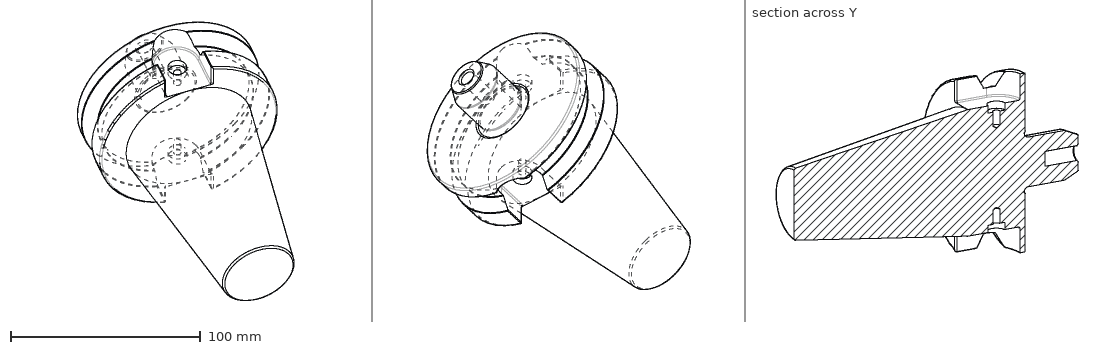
import cadquery as cq
import math


GAUGE_DIAMETER = 69.85
TAPER_RATIO = 7 / 24
TAPER_LENGTH = 101.8
TAPER_END_CHAMFER = 1.0

FLANGE_DIAMETER = 100.0
FLANGE_FRONT_X = -38.0
FLANGE_BACK_X = -3.0
FLANGE_RIM_ROUND = 1.0
GROOVE_DIAMETER = 85.0
GROOVE_CENTER_X = -23.25
GROOVE_MOUTH_WIDTH = 15.2
GROOVE_FLANK_ANGLE = 30.0

PILOT_DIAMETER = 28.0
PILOT_LENGTH = 32.0
LEAD_LENGTH = 8.5
LEAD_END_DIAMETER = 20.8
TIP_CHAMFER = 0.6

EDGE_BREAK = 0.3

RELIEF_DIAMETER = 27.8
RELIEF_START = 3.0
RELIEF_RAMP_LENGTH = 0.9
RELIEF_FILLET = 2.5
RELIEF_FACE_DEPTH = 0.6
RELIEF_RIM_DIAMETER = 34.8

BORE_DIAMETER = 8.0
BORE_MOUTH_DIAMETER = 10.0
BORE_DEPTH = 20.0

SLOT_WIDTH = 25.7
SLOT_FLOOR_HEIGHT = 35.4
SLOT_END_X = -34.5
SLOT_FLOOR_FILLET = 0.8
SLOT_CLEARANCE = 1.0
SLOT_RIM_CHAMFER = 0.5
SLOT_BACK_CHAMFER = 1.0

HOLE_X = -20.5
COUNTERBORE_DIAMETER = 10.0
COUNTERBORE_DEPTH = 4.0
HOLE_DIAMETER = 4.0
HOLE_DEPTH = 12.0
DRILL_POINT_ANGLE = 118.0


def taper_radius(x):
    return (GAUGE_DIAMETER - TAPER_RATIO * x) / 2


def make_turned_body():
    pilot_radius = PILOT_DIAMETER / 2
    relief_radius = RELIEF_DIAMETER / 2
    flange_radius = FLANGE_DIAMETER / 2
    groove_radius = GROOVE_DIAMETER / 2

    tip_x = FLANGE_FRONT_X - PILOT_LENGTH
    relief_x = FLANGE_FRONT_X - RELIEF_START
    recess_x = FLANGE_FRONT_X + RELIEF_FACE_DEPTH
    fillet_bulge = RELIEF_FILLET * math.sqrt(0.5)

    flank_run = (flange_radius - groove_radius) * math.tan(math.radians(GROOVE_FLANK_ANGLE))
    mouth_front_x = GROOVE_CENTER_X - GROOVE_MOUTH_WIDTH / 2
    mouth_back_x = GROOVE_CENTER_X + GROOVE_MOUTH_WIDTH / 2

    taper_chamfer_x = TAPER_LENGTH - TAPER_END_CHAMFER
    taper_end_radius = taper_radius(taper_chamfer_x) - TAPER_END_CHAMFER

    profile = (
        cq.Workplane("XZ")
        .moveTo(tip_x, 0)
        .lineTo(tip_x, LEAD_END_DIAMETER / 2 - TIP_CHAMFER)
        .lineTo(tip_x + TIP_CHAMFER, LEAD_END_DIAMETER / 2)
        .lineTo(tip_x + LEAD_LENGTH, pilot_radius)
        .lineTo(relief_x, pilot_radius)
        .lineTo(relief_x + RELIEF_RAMP_LENGTH, relief_radius)
        .lineTo(recess_x - RELIEF_FILLET, relief_radius)
        .threePointArc(
            (recess_x - RELIEF_FILLET + fillet_bulge, relief_radius + RELIEF_FILLET - fillet_bulge),
            (recess_x, relief_radius + RELIEF_FILLET),
        )
        .lineTo(FLANGE_FRONT_X, RELIEF_RIM_DIAMETER / 2)
        .lineTo(FLANGE_FRONT_X, flange_radius - FLANGE_RIM_ROUND)
        .tangentArcPoint((FLANGE_FRONT_X + FLANGE_RIM_ROUND, flange_radius), relative=False)
        .lineTo(mouth_front_x, flange_radius)
        .lineTo(mouth_front_x + flank_run, groove_radius)
        .lineTo(mouth_back_x - flank_run, groove_radius)
        .lineTo(mouth_back_x, flange_radius)
        .lineTo(FLANGE_BACK_X - FLANGE_RIM_ROUND, flange_radius)
        .tangentArcPoint((FLANGE_BACK_X, flange_radius - FLANGE_RIM_ROUND), relative=False)
        .lineTo(FLANGE_BACK_X, taper_radius(FLANGE_BACK_X))
        .lineTo(taper_chamfer_x, taper_radius(taper_chamfer_x))
        .lineTo(TAPER_LENGTH, taper_end_radius)
        .lineTo(TAPER_LENGTH, 0)
        .close()
    )
    return profile.revolve(360, (0, 0, 0), (1, 0, 0))


def box_around_axis(x_min, x_max):
    reach = FLANGE_DIAMETER
    return cq.selectors.BoxSelector((x_min, -reach, -reach), (x_max, reach, reach))


def break_corners(body):
    """Bevel the four groove corners and the corner between lead and pilot."""
    groove_zone = box_around_axis(
        GROOVE_CENTER_X - GROOVE_MOUTH_WIDTH / 2 - EDGE_BREAK,
        GROOVE_CENTER_X + GROOVE_MOUTH_WIDTH / 2 + EDGE_BREAK,
    )
    lead_corner_x = FLANGE_FRONT_X - PILOT_LENGTH + LEAD_LENGTH
    lead_zone = box_around_axis(lead_corner_x - EDGE_BREAK, lead_corner_x + EDGE_BREAK)
    return body.edges(groove_zone).chamfer(EDGE_BREAK).edges(lead_zone).chamfer(EDGE_BREAK)


def make_bore():
    tip_x = FLANGE_FRONT_X - PILOT_LENGTH
    mouth_chamfer = (BORE_MOUTH_DIAMETER - BORE_DIAMETER) / 2
    profile = (
        cq.Workplane("XZ")
        .moveTo(tip_x, 0)
        .lineTo(tip_x, BORE_MOUTH_DIAMETER / 2)
        .lineTo(tip_x + mouth_chamfer, BORE_DIAMETER / 2)
        .lineTo(tip_x + BORE_DEPTH, BORE_DIAMETER / 2)
        .lineTo(tip_x + BORE_DEPTH, 0)
        .close()
    )
    return profile.revolve(360, (0, 0, 0), (1, 0, 0))


def make_slot_cutter():
    """Round-ended slot open toward the taper, with its floor edge rounded."""
    half_width = SLOT_WIDTH / 2
    arc_center_x = SLOT_END_X + half_width
    flare_start_x = FLANGE_BACK_X - SLOT_BACK_CHAMFER
    flare_half_width = half_width - flare_start_x
    cutter_height = FLANGE_DIAMETER / 2 - SLOT_FLOOR_HEIGHT + SLOT_CLEARANCE
    cutter = (
        cq.Workplane("XY")
        .workplane(offset=SLOT_FLOOR_HEIGHT)
        .moveTo(0, flare_half_width)
        .lineTo(flare_start_x, half_width)
        .lineTo(arc_center_x, half_width)
        .threePointArc((SLOT_END_X, 0), (arc_center_x, -half_width))
        .lineTo(flare_start_x, -half_width)
        .lineTo(0, -flare_half_width)
        .close()
        .extrude(cutter_height)
    )
    return cutter.faces("<Z").edges("not >X").fillet(SLOT_FLOOR_FILLET)


def make_hole_cutter():
    """Counterbored drill hole, pointing down from the slot floor."""
    hole_radius = HOLE_DIAMETER / 2
    counterbore_radius = COUNTERBORE_DIAMETER / 2
    point_length = hole_radius / math.tan(math.radians(DRILL_POINT_ANGLE / 2))
    counterbore_z = SLOT_FLOOR_HEIGHT - COUNTERBORE_DEPTH
    bottom_z = SLOT_FLOOR_HEIGHT - HOLE_DEPTH
    profile = (
        cq.Workplane("XZ")
        .moveTo(0, bottom_z - point_length)
        .lineTo(hole_radius, bottom_z)
        .lineTo(hole_radius, counterbore_z)
        .lineTo(counterbore_radius, counterbore_z)
        .lineTo(counterbore_radius, SLOT_FLOOR_HEIGHT)
        .lineTo(0, SLOT_FLOOR_HEIGHT)
        .close()
    )
    return profile.revolve(360, (0, 0, 0), (0, 1, 0)).translate((HOLE_X, 0, 0))


def chamfer_slot_rims(body):
    """Bevel the slot edges that lie on the outside diameter of the flange."""
    flange_radius = FLANGE_DIAMETER / 2
    half_width = SLOT_WIDTH / 2
    wall_top_z = math.sqrt(flange_radius**2 - half_width**2)
    groove_back_x = GROOVE_CENTER_X + GROOVE_MOUTH_WIDTH / 2
    wall_middle_x = (groove_back_x + FLANGE_BACK_X) / 2
    rims = []
    for side in (1, -1):
        rim_points = [
            (SLOT_END_X, 0, side * flange_radius),
            (wall_middle_x, half_width, side * wall_top_z),
            (wall_middle_x, -half_width, side * wall_top_z),
        ]
        for point in rim_points:
            nearest = cq.selectors.NearestToPointSelector(point)
            rims.append(body.edges(nearest).val())
    return body.newObject(rims).chamfer(SLOT_RIM_CHAMFER)


result = break_corners(make_turned_body()).cut(make_bore())
for turn in (0, 180):
    for cutter in (make_slot_cutter(), make_hole_cutter()):
        result = result.cut(cutter.rotate((0, 0, 0), (1, 0, 0), turn))
result = chamfer_slot_rims(result)